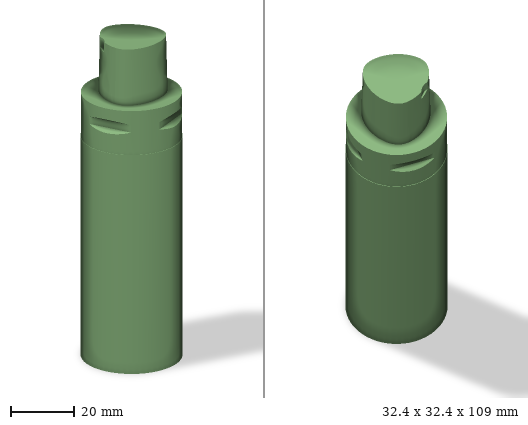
import cadquery as cq
import math

total_length = 109
shank_diameter = 32.4
shank_length = 75.0
collar_diameter = 32.0
collar_top = 90.0

polygon_base_diameter = 21.9
polygon_height = total_length - collar_top
diameter_taper = 1 / 20
polygon_top_diameter = polygon_base_diameter - polygon_height * diameter_taper
lobe_height = 0.68
lobe_half_span = 24
points_per_face = 9

slot_count = 4
slot_first_angle = 45
slot_floor_distance = 14.2
slot_floor_height = 2.5
slot_flank_angle = 30
slot_center_height = 83.9

notch_radius = 4.9
notch_height = 3.4
notch_wall_distance = 9.2


def polygon_point(diameter, normal_angle, z):
    """Point of the lobed outline where the surface normal has the given angle."""
    angle = math.radians(normal_angle)
    lobe_phase = 3 * (angle - math.pi / 2)
    support = diameter / 2 + lobe_height * math.cos(lobe_phase)
    slope = -3 * lobe_height * math.sin(lobe_phase)
    x = support * math.cos(angle) - slope * math.sin(angle)
    y = support * math.sin(angle) + slope * math.cos(angle)
    return cq.Vector(x, y, z)


def polygon_edge(diameter, start_angle, end_angle, z):
    """Spline along the outline between two surface-normal angles."""
    step = (end_angle - start_angle) / (points_per_face - 1)
    angles = [start_angle + i * step for i in range(points_per_face)]
    points = [polygon_point(diameter, angle, z) for angle in angles]
    tangents = [
        cq.Vector(-math.sin(math.radians(angle)), math.cos(math.radians(angle)), 0)
        for angle in (start_angle, end_angle)
    ]
    return cq.Edge.makeSpline(points, tangents=tangents)


def polygon_wire(diameter, z):
    edges = []
    for lobe_angle in (90, 210, 330):
        lobe_start = lobe_angle - lobe_half_span
        lobe_end = lobe_angle + lobe_half_span
        next_lobe_start = lobe_start + 120
        edges.append(polygon_edge(diameter, lobe_start, lobe_end, z))
        edges.append(polygon_edge(diameter, lobe_end, next_lobe_start, z))
    return cq.Wire.assembleEdges(edges)


def make_polygon_taper():
    base = polygon_wire(polygon_base_diameter, collar_top)
    top = polygon_wire(polygon_top_diameter, total_length)
    return cq.Workplane(cq.Solid.makeLoft([base, top], True))


def make_slot_cutter():
    """Straight trapezoidal bar that widens outward from the slot floor."""
    outer = shank_diameter / 2
    reach = outer - slot_floor_distance
    floor_half = slot_floor_height / 2
    mouth_half = floor_half + reach * math.tan(math.radians(slot_flank_angle))
    return (
        cq.Workplane("XZ", origin=(0, 0, slot_center_height))
        .polyline([
            (slot_floor_distance, -floor_half),
            (outer, -mouth_half),
            (outer, mouth_half),
            (slot_floor_distance, floor_half),
        ])
        .close()
        .extrude(shank_diameter / 2, both=True)
    )


def make_notch_cutter():
    """Upright cylinder that scoops a concave notch out of the polygon's front."""
    return (
        cq.Workplane("XY", origin=(0, -notch_wall_distance - notch_radius, total_length - notch_height))
        .circle(notch_radius)
        .extrude(notch_height)
    )


body = (
    cq.Workplane("XY")
    .circle(shank_diameter / 2)
    .extrude(shank_length)
    .faces(">Z")
    .workplane()
    .circle(collar_diameter / 2)
    .extrude(collar_top - shank_length)
)
slot_cutter = make_slot_cutter()
for slot in range(slot_count):
    slot_angle = slot_first_angle + slot * 360 / slot_count
    body = body.cut(slot_cutter.rotate((0, 0, 0), (0, 0, 1), slot_angle))

polygon_taper = make_polygon_taper().cut(make_notch_cutter())
result = body.union(polygon_taper)